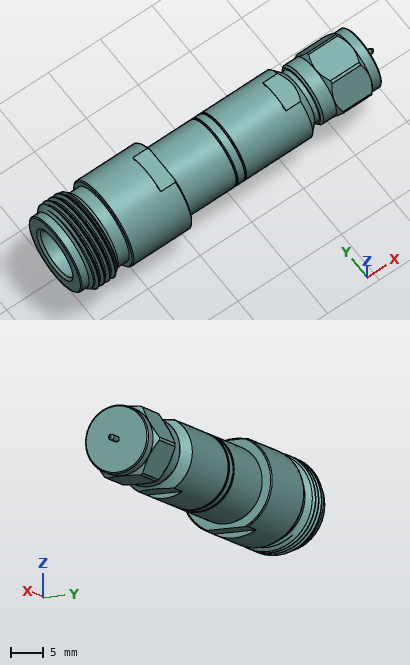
import cadquery as cq
import math

LENGTH = 61.45

NOSE_RADIUS = 6.95
EDGE_CHAMFER = 0.2
THREAD_START = 1.55
THREAD_END = 7.1
THREAD_RADIUS = 7.9
THREAD_ROOT_RADIUS = 7.4
FIVE_TURN_LENGTH = 5.3
THREAD_PITCH = FIVE_TURN_LENGTH / 5
THREAD_HALF_ANGLE = 30.0
ROOT_FLAT = 0.25
GROOVE_OVERCUT = 0.05
COLLAR_OVERLAP = 0.6
GROOVE_START = 0.35
GROOVE_TURNS = 6.8

BODY_START = 9.3
BODY_END = 20.8
BODY_RADIUS = THREAD_RADIUS
BODY_FLAT_START = 17.75
BODY_FLAT_HEIGHT = 7.0

BARREL_RADIUS = 6.25
BARREL_END = 45.2
BARREL_FLAT_START = 42.4
BARREL_FLAT_HEIGHT = 5.45
RING_GROOVE_CENTRES = (30.65, 32.3)
RING_GROOVE_WIDTH = 0.25
RING_GROOVE_DEPTH = 0.1
NECK_RADIUS = 4.8

NUT_START = 47.55
NUT_END = 59.2
NUT_RADIUS = 5.45
NUT_BACK_CHAMFER = 0.35
HEX_START = 50.4
HEX_END = 57.4
HEX_ACROSS_FLATS = 11.0
HEX_CORNER_RADIUS = 6.2

PIN_RADIUS = 0.46
PIN_TIP_RADIUS = 0.2
PIN_TIP_LENGTH = 0.4

MOUTH_RADIUS = 4.8
MOUTH_CHAMFER = 0.4
BORE_RADIUS = MOUTH_RADIUS - MOUTH_CHAMFER
BORE_DEPTH = 9.0
INNER_BORE_RADIUS = 3.6
INNER_BORE_DEPTH = 9.85
CONTACT_RADIUS = 1.2
CONTACT_TIP = 4.9
CONTACT_HOLE_RADIUS = 0.8
CONTACT_COUNTERSINK = 0.25
CONTACT_HOLE_DEPTH = 3.1


def revolve_profile(points):
    """Revolve (x, radius) points about the X axis."""
    return cq.Workplane("XY").polyline(points).close().revolve(360, (0, 0, 0), (1, 0, 0))


def ring(start, end, inner_radius, outer_radius):
    """Square-edged ring around the X axis."""
    return revolve_profile(
        [(start, inner_radius), (end, inner_radius), (end, outer_radius), (start, outer_radius)]
    )


def turned_body():
    """Solid of revolution from the nose to the tip of the pin, without thread or hexagon."""
    neck_start = BARREL_END + BARREL_RADIUS - NECK_RADIUS
    return revolve_profile(
        [
            (0, 0),
            (0, NOSE_RADIUS - EDGE_CHAMFER),
            (EDGE_CHAMFER, NOSE_RADIUS),
            (BODY_START, NOSE_RADIUS),
            (BODY_START, BODY_RADIUS - EDGE_CHAMFER),
            (BODY_START + EDGE_CHAMFER, BODY_RADIUS),
            (BODY_END - EDGE_CHAMFER, BODY_RADIUS),
            (BODY_END, BODY_RADIUS - EDGE_CHAMFER),
            (BODY_END, BARREL_RADIUS),
            (BARREL_END, BARREL_RADIUS),
            (neck_start, NECK_RADIUS),
            (NUT_START, NECK_RADIUS),
            (NUT_START, NUT_RADIUS - NUT_BACK_CHAMFER),
            (NUT_START + NUT_BACK_CHAMFER, NUT_RADIUS),
            (NUT_END - EDGE_CHAMFER, NUT_RADIUS),
            (NUT_END, NUT_RADIUS - EDGE_CHAMFER),
            (NUT_END, PIN_RADIUS),
            (LENGTH - PIN_TIP_LENGTH, PIN_RADIUS),
            (LENGTH, PIN_TIP_RADIUS),
            (LENGTH, 0),
        ]
    )


def thread_groove():
    """Right-handed helical groove, with a flat root, that forms the external thread."""
    outer_radius = THREAD_RADIUS + GROOVE_OVERCUT
    half_root = ROOT_FLAT / 2
    flank_slope = math.tan(math.radians(THREAD_HALF_ANGLE))
    half_mouth = half_root + (outer_radius - THREAD_ROOT_RADIUS) * flank_slope
    helix = cq.Wire.makeHelix(THREAD_PITCH, THREAD_PITCH * GROOVE_TURNS, THREAD_ROOT_RADIUS)
    section = (
        cq.Workplane("XZ")
        .polyline(
            [
                (THREAD_ROOT_RADIUS, -half_root),
                (THREAD_ROOT_RADIUS, half_root),
                (outer_radius, half_mouth),
                (outer_radius, -half_mouth),
            ]
        )
        .close()
    )
    groove = section.sweep(cq.Workplane(helix), isFrenet=True)
    return groove.rotate((0, 0, 0), (0, 1, 0), 90).translate((GROOVE_START, 0, 0))


def threaded_collar():
    """Thread around the nose, with 45 degree cones where it starts and ends."""
    rise = THREAD_RADIUS - NOSE_RADIUS
    inner_radius = NOSE_RADIUS - COLLAR_OVERLAP
    blank = ring(0, BODY_START, inner_radius, THREAD_RADIUS)
    envelope = revolve_profile(
        [
            (THREAD_START, inner_radius),
            (THREAD_START, NOSE_RADIUS),
            (THREAD_START + rise, THREAD_RADIUS),
            (THREAD_END - rise, THREAD_RADIUS),
            (THREAD_END, NOSE_RADIUS),
            (THREAD_END, inner_radius),
        ]
    )
    return blank.cut(thread_groove()).intersect(envelope)


def wrench_flats(start, end, flat_height, radius):
    """Material removed above and below a pair of flats that face +Z and -Z."""
    length = end - start
    blank = cq.Workplane("XY").box(length, 2 * radius, 2 * radius)
    kept = cq.Workplane("XY").box(length, 2 * radius, 2 * flat_height)
    return blank.cut(kept).translate((start + length / 2, 0, 0))


def ring_groove(centre):
    """Shallow marking groove around the barrel."""
    half_width = RING_GROOVE_WIDTH / 2
    floor_radius = BARREL_RADIUS - RING_GROOVE_DEPTH
    return ring(centre - half_width, centre + half_width, floor_radius, BARREL_RADIUS)


def nut_hexagon():
    """Hexagon with flats facing +Z and -Z, rounded corners and 45 degree end chamfers."""
    corner_rise = HEX_CORNER_RADIUS - NUT_RADIUS
    prism = (
        cq.Workplane("YZ", origin=(HEX_START, 0, 0))
        .polygon(6, HEX_ACROSS_FLATS, circumscribed=True)
        .extrude(HEX_END - HEX_START)
        .rotate((0, 0, 0), (1, 0, 0), 90)
    )
    envelope = revolve_profile(
        [
            (HEX_START, 0),
            (HEX_START, NUT_RADIUS),
            (HEX_START + corner_rise, HEX_CORNER_RADIUS),
            (HEX_END - corner_rise, HEX_CORNER_RADIUS),
            (HEX_END, NUT_RADIUS),
            (HEX_END, 0),
        ]
    )
    return prism.intersect(envelope)


def socket_cavity():
    """Stepped bore in the nose, leaving the hollow centre contact standing."""
    countersink_radius = CONTACT_HOLE_RADIUS + CONTACT_COUNTERSINK
    hole_end = CONTACT_TIP + CONTACT_HOLE_DEPTH
    return revolve_profile(
        [
            (0, 0),
            (0, MOUTH_RADIUS),
            (MOUTH_CHAMFER, BORE_RADIUS),
            (BORE_DEPTH, BORE_RADIUS),
            (BORE_DEPTH, INNER_BORE_RADIUS),
            (INNER_BORE_DEPTH, INNER_BORE_RADIUS),
            (INNER_BORE_DEPTH, CONTACT_RADIUS),
            (CONTACT_TIP, CONTACT_RADIUS),
            (CONTACT_TIP, countersink_radius),
            (CONTACT_TIP + CONTACT_COUNTERSINK, CONTACT_HOLE_RADIUS),
            (hole_end, CONTACT_HOLE_RADIUS),
            (hole_end, 0),
        ]
    )


result = turned_body().union(threaded_collar()).union(nut_hexagon())
result = result.cut(wrench_flats(BODY_FLAT_START, BODY_END, BODY_FLAT_HEIGHT, BODY_RADIUS))
result = result.cut(wrench_flats(BARREL_FLAT_START, NUT_START, BARREL_FLAT_HEIGHT, BARREL_RADIUS))
for centre in RING_GROOVE_CENTRES:
    result = result.cut(ring_groove(centre))
result = result.cut(socket_cavity())